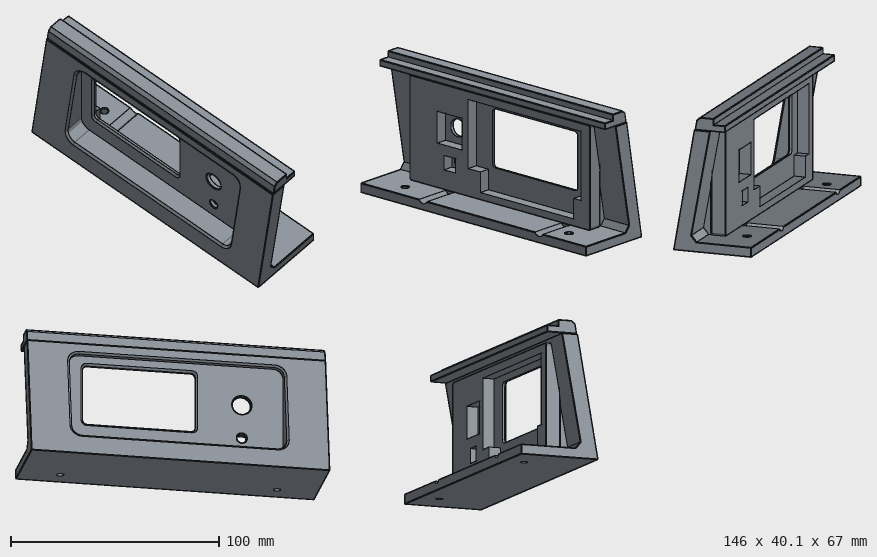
import cadquery as cq
import math

LENGTH = 146.0
DEPTH = 40.1
HEIGHT = 67.0
EDGE_BREAK = 0.36
HOLE_CHAMFER = 0.5
FACE_CHAMFER = 1.0

FOOT_HEIGHT = 5.0
PANEL_TOP = 60.6
LEAN_ANGLE = math.radians(10)
PANEL_FOOT_THICKNESS = 7.9
PANEL_TOP_THICKNESS = 8.3
INNER_CHAMFER = 3.2

OPENING_LENGTH = 105.1
OPENING_BOTTOM = 10.4
OPENING_TOP = 55.2
OPENING_RADIUS = 5.0

INSERT_LENGTH = 116.8
INSERT_FRONT = 13.1
INSERT_BACK = 21.2
INSERT_TOP = 58.2
INSERT_CORNER_RADIUS = 1.2
FACE_THICKNESS = 2.2

WINDOW_X = -17.7
WINDOW_LENGTH = 55.0
WINDOW_HEIGHT = 29.9
WINDOW_RADIUS = 2.0
CONTROLS_X = 32.4
MIDDLE_Z = 35.6
KNOB_DIAMETER = 9.0
BUTTON_DIAMETER = 4.5
BUTTON_Z = 18.7

DISPLAY_LEFT = -52.5
DISPLAY_RIGHT = 20.5
DISPLAY_BOTTOM = 19.1
DISPLAY_TOP = 54.0
CABLE_RIGHT = 12.5
CABLE_BOTTOM = 8.8
KNOB_POCKET_SIZE = 16.0
BUTTON_POCKET_SIZE = 7.3

COLLAR_LENGTH = 113.9

SCREW_SPACING = 106.0
SCREW_Y = 30.2
SCREW_DIAMETER = 3.4
GROOVE_PLACES = (-42.5, CONTROLS_X)
GROOVE_WIDTH = 5.3
GROOVE_DEPTH = 1.6

CAP_SETBACK = 0.5
CAP_BACK = 26.5
CAP_LEDGE_HEIGHT = 3.4
CAP_STEP_Y = 20.7
CAP_CHAMFER = 1.6


def lean_y(z):
    """Y of the leaning front face at height z; its broken bottom edge starts at Y = 0."""
    return z * math.tan(LEAN_ANGLE) - EDGE_BREAK * math.sin(LEAN_ANGLE)


def extrude_along_length(points, length=LENGTH):
    """Prism centred on X = 0 with the given (Y, Z) outline."""
    return cq.Workplane("YZ").polyline(points).close().extrude(length / 2, both=True)


def edge_at(y, z):
    """Selects the edge parallel to X that passes nearest to the given Y and Z."""
    return cq.selectors.NearestToPointSelector((0, y, z))


def break_long_edges(body, places):
    """Chamfers the edges along X at the given (Y, Z) places, then the rims of both ends."""
    for y, z in places:
        body = body.edges("|X").edges(edge_at(y, z)).chamfer(EDGE_BREAK)
    return body.faces("<X or >X").edges().chamfer(EDGE_BREAK)


def block(x0, x1, y0, y1, z0, z1):
    """Box between two opposite corners."""
    return cq.Workplane("XY").box(x1 - x0, y1 - y0, z1 - z0, centered=False).translate((x0, y0, z0))


def make_insert_blank():
    """Insert without openings, with four rounded corners and a chamfer around its face."""
    half = INSERT_LENGTH / 2
    blank = block(-half, half, INSERT_FRONT, INSERT_BACK, FOOT_HEIGHT, INSERT_TOP)
    blank = blank.edges("|Y").fillet(INSERT_CORNER_RADIUS)
    blank = blank.faces("<Y").edges().chamfer(FACE_CHAMFER)
    return blank.faces(">Y").edges().chamfer(EDGE_BREAK)


def cut_back_pocket(insert, x0, x1, z0, z1):
    """Pocket from the back of the insert that leaves the face thickness."""
    return insert.cut(block(x0, x1, INSERT_FRONT + FACE_THICKNESS, INSERT_BACK, z0, z1))


def cut_window(insert):
    half_length = WINDOW_LENGTH / 2
    half_height = WINDOW_HEIGHT / 2
    window = block(
        WINDOW_X - half_length, WINDOW_X + half_length,
        INSERT_FRONT, INSERT_BACK,
        MIDDLE_Z - half_height, MIDDLE_Z + half_height,
    )
    insert = insert.cut(window.edges("|Y").fillet(WINDOW_RADIUS))
    rim_start = (WINDOW_X, INSERT_FRONT, MIDDLE_Z - half_height)
    rim = insert.faces("<Y").edges(cq.selectors.NearestToPointSelector(rim_start))
    return rim.chamfer(FACE_CHAMFER)


def cut_control_hole(insert, diameter, z):
    """Hole through the insert with a chamfered mouth at the front."""
    radius = diameter / 2
    hole = (
        cq.Workplane("XZ", origin=(CONTROLS_X, INSERT_FRONT, z))
        .circle(radius)
        .extrude(INSERT_FRONT - INSERT_BACK)
    )
    mouth = cq.Solid.makeCone(
        radius + HOLE_CHAMFER, radius, HOLE_CHAMFER,
        cq.Vector(CONTROLS_X, INSERT_FRONT, z), cq.Vector(0, 1, 0),
    )
    return insert.cut(hole).cut(cq.Workplane(mouth))


def make_insert():
    insert = make_insert_blank()

    cable_left = 2 * WINDOW_X - CABLE_RIGHT
    insert = cut_back_pocket(insert, DISPLAY_LEFT, DISPLAY_RIGHT, DISPLAY_BOTTOM, DISPLAY_TOP)
    insert = cut_back_pocket(insert, cable_left, CABLE_RIGHT, CABLE_BOTTOM, DISPLAY_TOP)

    for size, z in ((KNOB_POCKET_SIZE, MIDDLE_Z), (BUTTON_POCKET_SIZE, BUTTON_Z)):
        half = size / 2
        insert = cut_back_pocket(insert, CONTROLS_X - half, CONTROLS_X + half, z - half, z + half)

    insert = cut_window(insert)
    insert = cut_control_hole(insert, KNOB_DIAMETER, MIDDLE_Z)
    return cut_control_hole(insert, BUTTON_DIAMETER, BUTTON_Z)


def make_bracket():
    """Foot and leaning panel without openings."""
    foot_back = lean_y(FOOT_HEIGHT) + PANEL_FOOT_THICKNESS
    top_front = lean_y(PANEL_TOP)
    top_back = top_front + PANEL_TOP_THICKNESS
    bracket = extrude_along_length([
        (lean_y(0), 0),
        (DEPTH, 0),
        (DEPTH, FOOT_HEIGHT),
        (foot_back, FOOT_HEIGHT),
        (top_back, PANEL_TOP),
        (top_front, PANEL_TOP),
    ])
    bracket = bracket.edges("|X").edges(edge_at(foot_back, FOOT_HEIGHT)).chamfer(INNER_CHAMFER)
    return break_long_edges(bracket, [
        (lean_y(0), 0),
        (DEPTH, 0),
        (DEPTH, FOOT_HEIGHT),
        (top_back, PANEL_TOP),
        (top_front, PANEL_TOP),
    ])


def make_collar():
    """Wedge that closes the gap between the leaning panel and the insert."""
    return extrude_along_length(
        [
            (lean_y(FOOT_HEIGHT), FOOT_HEIGHT),
            (INSERT_FRONT, FOOT_HEIGHT),
            (INSERT_FRONT, INSERT_TOP),
            (lean_y(INSERT_TOP), INSERT_TOP),
        ],
        COLLAR_LENGTH,
    )


def cut_opening(housing):
    """Opening through panel and collar, chamfered along the leaning front face."""
    half = OPENING_LENGTH / 2
    opening = block(-half, half, 0, INSERT_FRONT, OPENING_BOTTOM, OPENING_TOP)
    housing = housing.cut(opening.edges("|Y").fillet(OPENING_RADIUS))
    rim_start = (0, lean_y(OPENING_BOTTOM), OPENING_BOTTOM)
    return housing.edges(cq.selectors.NearestToPointSelector(rim_start)).chamfer(FACE_CHAMFER)


def cut_screw_holes(housing):
    radius = SCREW_DIAMETER / 2
    for x in (-SCREW_SPACING / 2, SCREW_SPACING / 2):
        hole = cq.Workplane("XY").center(x, SCREW_Y).circle(radius).extrude(FOOT_HEIGHT)
        mouth = cq.Solid.makeCone(
            radius, radius + HOLE_CHAMFER, HOLE_CHAMFER,
            cq.Vector(x, SCREW_Y, FOOT_HEIGHT - HOLE_CHAMFER),
        )
        housing = housing.cut(hole).cut(cq.Workplane(mouth))
    return housing


def cut_cable_grooves(housing):
    """Shallow round grooves in the foot, from its back edge to the insert."""
    radius = (GROOVE_WIDTH ** 2 / 4 + GROOVE_DEPTH ** 2) / (2 * GROOVE_DEPTH)
    centre_z = FOOT_HEIGHT - GROOVE_DEPTH + radius
    for x in GROOVE_PLACES:
        groove = (
            cq.Workplane("XZ", origin=(x, DEPTH, centre_z))
            .circle(radius)
            .extrude(DEPTH - INSERT_BACK)
        )
        housing = housing.cut(groove)
    return housing


def make_housing():
    housing = make_bracket().union(make_collar())
    housing = cut_opening(housing)
    housing = housing.cut(make_insert_blank())
    housing = cut_screw_holes(housing)
    return cut_cable_grooves(housing)


def make_cap():
    bottom_front = lean_y(PANEL_TOP) + CAP_SETBACK
    top_front = lean_y(HEIGHT) + CAP_SETBACK
    ledge = PANEL_TOP + CAP_LEDGE_HEIGHT
    cap = extrude_along_length([
        (bottom_front, PANEL_TOP),
        (CAP_BACK, PANEL_TOP),
        (CAP_BACK, ledge),
        (CAP_STEP_Y, ledge),
        (CAP_STEP_Y, HEIGHT),
        (top_front, HEIGHT),
    ])
    cap = cap.edges("|X").edges(edge_at(top_front, HEIGHT)).chamfer(CAP_CHAMFER)
    return break_long_edges(cap, [
        (bottom_front, PANEL_TOP),
        (CAP_BACK, PANEL_TOP),
        (CAP_BACK, ledge),
        (CAP_STEP_Y, HEIGHT),
    ])


housing = make_housing()
insert = make_insert()
cap = make_cap()
result = cq.Compound.makeCompound([housing.val(), insert.val(), cap.val()])